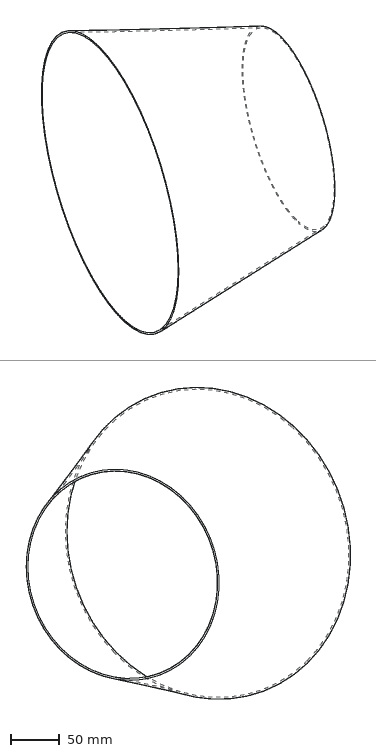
import cadquery as cq

large_diameter = 323.9
small_diameter = 219.1
length = 203.0
wall = 2.0


def conical_shell():
    """Revolve the sloping wall section about the Y axis."""
    large_radius = large_diameter / 2
    small_radius = small_diameter / 2
    section = [
        (large_radius - wall, 0),
        (large_radius, 0),
        (small_radius, length),
        (small_radius - wall, length),
    ]
    return (
        cq.Workplane("XY")
        .polyline(section)
        .close()
        .revolve(360, (0, 0, 0), (0, 1, 0))
    )


result = conical_shell()